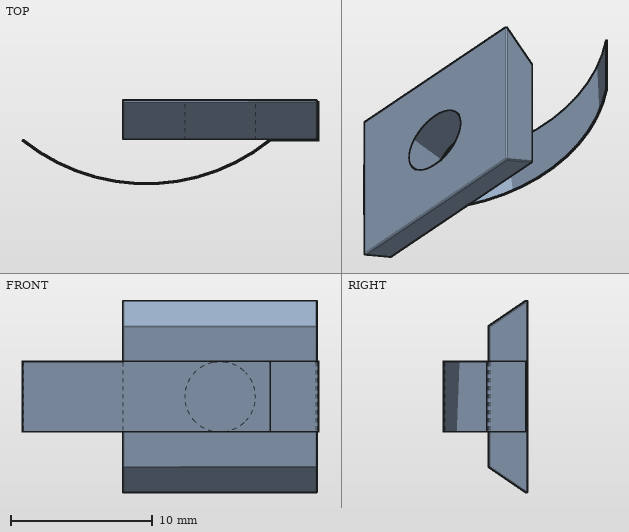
import cadquery as cq
import math

BLOCK_LENGTH = 13.8
BLOCK_DEPTH = 2.8
BACK_HEIGHT = 13.8
FRONT_HEIGHT = 10.0
EDGE_RADIUS = 0.1
BORE_DIAMETER = 5.0

STRIP_THICKNESS = 0.1
STRIP_WIDTH = 5.0
FOOT_LENGTH = 3.42
LEG_BACK_GAP = 0.13
LEAF_CHORD = 17.58
LEAF_RADIUS = 14.0

leg_outer_x = BLOCK_LENGTH / 2 + STRIP_THICKNESS
foot_start_x = leg_outer_x - FOOT_LENGTH
leaf_half_angle = math.asin(LEAF_CHORD / 2 / LEAF_RADIUS)
leaf_center_x = foot_start_x - LEAF_CHORD / 2
leaf_center_y = LEAF_RADIUS * math.cos(leaf_half_angle) - STRIP_THICKNESS


def make_block():
    """Rounded trapezoidal wedge with a bore through its middle along Y."""
    profile = [
        (0, -FRONT_HEIGHT / 2),
        (BLOCK_DEPTH, -BACK_HEIGHT / 2),
        (BLOCK_DEPTH, BACK_HEIGHT / 2),
        (0, FRONT_HEIGHT / 2),
    ]
    wedge = cq.Workplane("YZ").polyline(profile).close().extrude(BLOCK_LENGTH / 2, both=True)
    wedge = wedge.edges().fillet(EDGE_RADIUS)
    bore = cq.Workplane("XZ").circle(BORE_DIAMETER / 2).extrude(-BLOCK_DEPTH)
    return wedge.cut(bore)


def make_foot():
    """L-shaped end of the strip: foot on the front face, leg along the +X face."""
    foot = cq.Workplane("XY").box(FOOT_LENGTH, STRIP_THICKNESS, STRIP_WIDTH, centered=(False, False, True))
    foot = foot.translate((foot_start_x, -STRIP_THICKNESS, 0))
    leg_length = BLOCK_DEPTH - LEG_BACK_GAP + STRIP_THICKNESS
    leg = cq.Workplane("XY").box(STRIP_THICKNESS, leg_length, STRIP_WIDTH, centered=(False, False, True))
    leg = leg.translate((BLOCK_LENGTH / 2, -STRIP_THICKNESS, 0))
    return foot.union(leg)


def leaf_point(radius, angle):
    """Point on the bow, with the angle measured from its lowest point toward +X."""
    return (leaf_center_x + radius * math.sin(angle), leaf_center_y - radius * math.cos(angle))


def make_leaf():
    """Circular bow toward -Y: its free end is radial, its other end is flush with the foot's end face."""
    inner_radius = LEAF_RADIUS - STRIP_THICKNESS
    inner_end_angle = math.asin(LEAF_CHORD / 2 / inner_radius)
    return (
        cq.Workplane("XY")
        .moveTo(*leaf_point(LEAF_RADIUS, -leaf_half_angle))
        .threePointArc(leaf_point(LEAF_RADIUS, 0), leaf_point(LEAF_RADIUS, leaf_half_angle))
        .lineTo(*leaf_point(inner_radius, inner_end_angle))
        .threePointArc(leaf_point(inner_radius, 0), leaf_point(inner_radius, -leaf_half_angle))
        .close()
        .extrude(STRIP_WIDTH / 2, both=True)
    )


result = make_block().union(make_foot()).union(make_leaf())